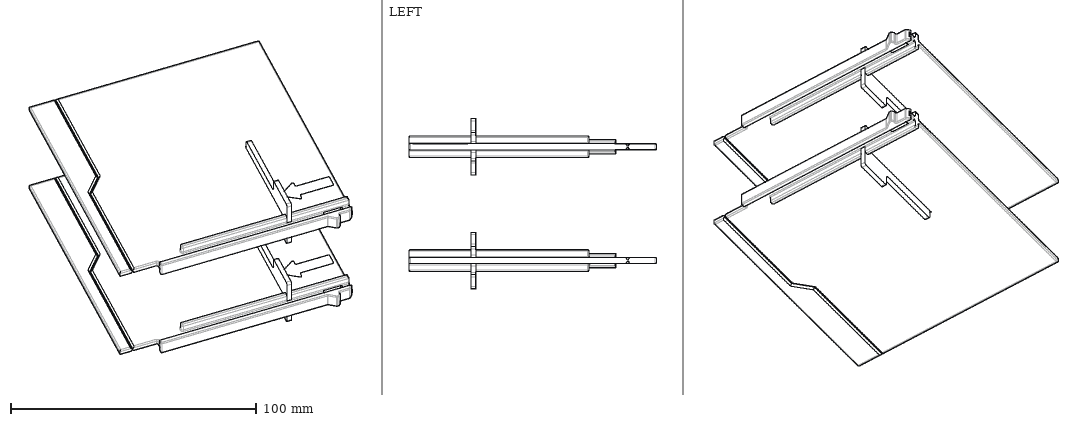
import cadquery as cq
PLATE_COUNT = 2
PLATE_PITCH = 46.5

PLATE_DEPTH = 101.0
PLATE_RIGHT = 100.7
PLATE_THICK = 2.6
PLATE_TOP = PLATE_THICK / 2
EDGE_RADIUS = 0.5

BAR_LEFT = 102.4
BAR_RIGHT = 104.6
BAR_FRONT = 16.6
BAR_HEIGHT = 6.0
BAR_CORNER = 1.5
BAR_RADIUS = 0.4
NECK_RADIUS = 0.5
NOSE_TIP_X = 106.8
NOSE_BACK = 94.8
NOSE_FLAT_FRONT = 92.9
NOSE_FRONT = 89.8
NOSE_CORNER = 1.0

BAR_FOOT_RADIUS = 0.6

SLOT_LEFT = 100.1
SLOT_FRONT = 89.5
SLOT_BACK = 96.8
SLOT_FLARE = 1.0
SLOT_CORNER = 0.4

RAIL_LEFT = 97.6
RAIL_RIGHT = 99.8
RAIL_FRONT = 27.6
RAIL_HEIGHT = 9.0
RAIL_RADIUS = 0.6
RAIL_FOOT_RADIUS = 0.4
RAIL_ROOT_MARGIN = 0.5

FIN_LEFT = 54.9
FIN_STEP = 84.8
FIN_RIGHT = 100.0
FIN_FRONT = 73.7
FIN_THICK = 2.0
FIN_HEIGHT = 23.1
FIN_LOW_HEIGHT = FIN_HEIGHT / 2
FIN_RADIUS = 1.0

SCORE_WIDTH = 1.7
SCORE_BOTTOM_WIDTH = 0.3
SCORE_DEPTH = 1.0
SCORE_LEFT_Y = 11.7
SCORE_RIGHT_Y = 5.5
SCORE_BEND_LEFT = 47.0
SCORE_BEND_RIGHT = 54.1

ARROW_X = 84.7
ARROW_BACK = 99.3
ARROW_SHOULDER = 84.5
ARROW_TIP = 76.7
ARROW_SHAFT_HALF = 2.6
ARROW_HEAD_HALF = 5.2
ARROW_CORNER = 0.5
ARROW_DEPTH = 0.1

FACES = (1, -1)


def block(x_min, x_max, y_min, y_max, height):
    """Box centred on the mid-plane of the plate."""
    size_x = x_max - x_min
    size_y = y_max - y_min
    box = cq.Workplane("XY").box(size_x, size_y, height, centered=(False, False, True))
    return box.translate((x_min, y_min, 0))


def make_plate():
    """Plate with a web at its right that reaches into the edge bar."""
    web_right = (BAR_LEFT + BAR_RIGHT) / 2
    plate = (
        cq.Workplane("XY")
        .moveTo(PLATE_TOP, 0)
        .lineTo(PLATE_RIGHT, 0)
        .lineTo(PLATE_RIGHT, BAR_FRONT)
        .lineTo(web_right, BAR_FRONT)
        .lineTo(web_right, PLATE_DEPTH)
        .lineTo(PLATE_TOP, PLATE_DEPTH)
        .close()
        .extrude(PLATE_TOP, both=True)
    )
    left_round = (
        cq.Workplane("XZ")
        .moveTo(PLATE_TOP, PLATE_TOP)
        .threePointArc((0, 0), (PLATE_TOP, -PLATE_TOP))
        .close()
        .extrude(-PLATE_DEPTH)
    )
    left_round = left_round.edges("%CIRCLE").fillet(EDGE_RADIUS)
    inner_corner = cq.selectors.NearestToPointSelector((PLATE_RIGHT, BAR_FRONT, 0))
    plate = plate.edges(inner_corner).fillet(NECK_RADIUS)
    plate = plate.faces("<Z or >Z").edges("not (<X or >X)").fillet(EDGE_RADIUS)
    return plate.union(left_round)


def make_bar():
    bar = (
        cq.Workplane("XY")
        .moveTo(BAR_LEFT, BAR_FRONT)
        .lineTo(BAR_RIGHT, BAR_FRONT)
        .lineTo(BAR_RIGHT, NOSE_FRONT)
        .lineTo(NOSE_TIP_X, NOSE_FLAT_FRONT)
        .lineTo(NOSE_TIP_X, NOSE_BACK - NOSE_CORNER)
        .lineTo(NOSE_TIP_X - NOSE_CORNER, NOSE_BACK)
        .lineTo(BAR_RIGHT, NOSE_BACK)
        .lineTo(BAR_RIGHT, PLATE_DEPTH - BAR_CORNER)
        .lineTo(BAR_RIGHT - BAR_CORNER, PLATE_DEPTH)
        .lineTo(BAR_LEFT, PLATE_DEPTH)
        .close()
        .extrude(BAR_HEIGHT / 2, both=True)
    )
    return bar.edges().fillet(BAR_RADIUS)


def make_bar_foot(face):
    """Concave strip between the inner wall of the bar and one face of the web."""
    length = PLATE_DEPTH - BAR_FRONT - 2 * BAR_RADIUS
    foot = (
        cq.Workplane("XZ", origin=(0, BAR_FRONT + BAR_RADIUS, 0))
        .moveTo(BAR_LEFT - BAR_FOOT_RADIUS, PLATE_TOP)
        .radiusArc((BAR_LEFT, PLATE_TOP + BAR_FOOT_RADIUS), -BAR_FOOT_RADIUS)
        .lineTo(BAR_LEFT + BAR_FOOT_RADIUS, PLATE_TOP + BAR_FOOT_RADIUS)
        .lineTo(BAR_LEFT + BAR_FOOT_RADIUS, 0)
        .lineTo(BAR_LEFT - BAR_FOOT_RADIUS, 0)
        .close()
        .extrude(-length)
    )
    return foot if face > 0 else foot.mirror("XY")


def make_slot():
    cutter_top = PLATE_THICK
    slot = (
        cq.Workplane("YZ", origin=(SLOT_LEFT, 0, 0))
        .moveTo(SLOT_FRONT, -cutter_top)
        .lineTo(SLOT_BACK + SLOT_FLARE, -cutter_top)
        .lineTo(SLOT_BACK + SLOT_FLARE, -PLATE_TOP)
        .lineTo(SLOT_BACK, 0)
        .lineTo(SLOT_BACK + SLOT_FLARE, PLATE_TOP)
        .lineTo(SLOT_BACK + SLOT_FLARE, cutter_top)
        .lineTo(SLOT_FRONT, cutter_top)
        .close()
        .extrude(BAR_LEFT - SLOT_LEFT)
    )
    return slot.edges("|Z and <Y").fillet(SLOT_CORNER)


def make_rail():
    """Rail through the plate, flared where it meets the plate faces."""
    rail = block(RAIL_LEFT, RAIL_RIGHT, RAIL_FRONT, PLATE_DEPTH, RAIL_HEIGHT)
    rail = rail.edges("|Z and <Y").fillet(RAIL_RADIUS)
    rail = rail.faces("<Z or >Z").edges().fillet(RAIL_RADIUS)
    root = block(
        RAIL_LEFT - RAIL_ROOT_MARGIN,
        RAIL_RIGHT + RAIL_ROOT_MARGIN,
        RAIL_FRONT - RAIL_ROOT_MARGIN,
        PLATE_DEPTH,
        PLATE_THICK,
    )
    rail = rail.union(root)
    reach = RAIL_FOOT_RADIUS
    for face in FACES:
        face_z = face * PLATE_TOP
        foot_zone = cq.selectors.BoxSelector(
            (RAIL_LEFT - reach, RAIL_FRONT - reach, face_z - reach),
            (RAIL_RIGHT + reach, PLATE_DEPTH - reach, face_z + reach),
        )
        rail = rail.edges(foot_zone).fillet(RAIL_FOOT_RADIUS)
    return rail


def make_fin():
    """Fin through the plate; its root inside the plate gives the left end a rounded foot."""
    root_length = 3 * FIN_RADIUS
    fin = block(FIN_LEFT - root_length, FIN_RIGHT, FIN_FRONT, FIN_FRONT + FIN_THICK, PLATE_THICK)
    for left, height in ((FIN_LEFT, FIN_LOW_HEIGHT), (FIN_STEP, FIN_HEIGHT)):
        fin = fin.union(block(left, FIN_RIGHT, FIN_FRONT, FIN_FRONT + FIN_THICK, height))
    return fin.edges("|Y").fillet(FIN_RADIUS)


def make_score(face):
    path = (
        cq.Workplane("XY")
        .moveTo(0, SCORE_LEFT_Y)
        .lineTo(SCORE_BEND_LEFT, SCORE_LEFT_Y)
        .lineTo(SCORE_BEND_RIGHT, SCORE_RIGHT_Y)
        .lineTo(PLATE_RIGHT, SCORE_RIGHT_Y)
    )
    half = SCORE_WIDTH / 2
    bottom_half = SCORE_BOTTOM_WIDTH / 2
    bottom_z = -face * SCORE_DEPTH
    groove = (
        cq.Workplane("YZ", origin=(0, SCORE_LEFT_Y, 0))
        .polyline([(-half, 0), (half, 0), (bottom_half, bottom_z), (-bottom_half, bottom_z)])
        .close()
        .sweep(path, transition="right")
    )
    return groove.translate((0, 0, face * PLATE_TOP))


def make_arrow():
    arrow = (
        cq.Workplane("XY", origin=(ARROW_X, 0, PLATE_TOP - ARROW_DEPTH))
        .polyline([
            (-ARROW_SHAFT_HALF, ARROW_BACK),
            (ARROW_SHAFT_HALF, ARROW_BACK),
            (ARROW_SHAFT_HALF, ARROW_SHOULDER),
            (ARROW_HEAD_HALF, ARROW_SHOULDER),
            (0, ARROW_TIP),
            (-ARROW_HEAD_HALF, ARROW_SHOULDER),
            (-ARROW_SHAFT_HALF, ARROW_SHOULDER),
        ])
        .close()
        .extrude(ARROW_DEPTH)
    )
    return arrow.edges("|Z").fillet(ARROW_CORNER)


def make_divider():
    divider = make_plate().union(make_bar())
    for face in FACES:
        divider = divider.union(make_bar_foot(face))
    divider = divider.union(make_rail()).union(make_fin())
    divider = divider.cut(make_slot())
    for face in FACES:
        divider = divider.cut(make_score(face))
    return divider.cut(make_arrow())


divider = make_divider()
dividers = [
    divider.translate((0, 0, FIN_HEIGHT / 2 + level * PLATE_PITCH)).val()
    for level in range(PLATE_COUNT)
]
result = cq.Compound.makeCompound(dividers)